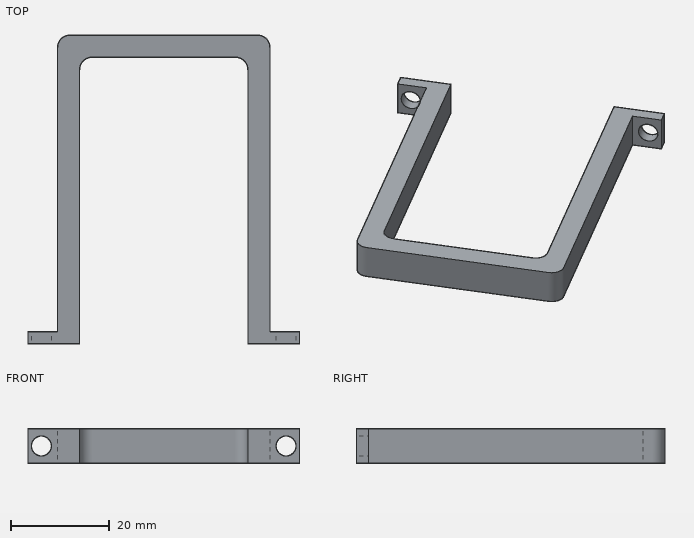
import cadquery as cq

width = 55.0
depth = 62.5
height = 7.0

inner_width = 34.0
wall = 4.5
outer_width = inner_width + 2 * wall
outer_corner_radius = 2.5
inner_corner_radius = 2.5

flange_thickness = 2.5
hole_diameter = 4.0
hole_spacing = 49.5

front_y = -depth / 2


def block(size_x, size_y):
    """Full-height block centred on X, starting at the front face."""
    return (
        cq.Workplane("XY")
        .box(size_x, size_y, height, centered=(True, False, True))
        .translate((0, front_y, 0))
    )


frame = block(outer_width, depth).edges("|Z and >Y").fillet(outer_corner_radius)
opening = block(inner_width, depth - wall).edges("|Z and >Y").fillet(inner_corner_radius)

flange_bar = block(width, flange_thickness)
bracket = frame.union(flange_bar).cut(opening)

screw_holes = (
    cq.Workplane("XZ", origin=(0, front_y, 0))
    .pushPoints([(-hole_spacing / 2, 0), (hole_spacing / 2, 0)])
    .circle(hole_diameter / 2)
    .extrude(-flange_thickness)
)

result = bracket.cut(screw_holes)